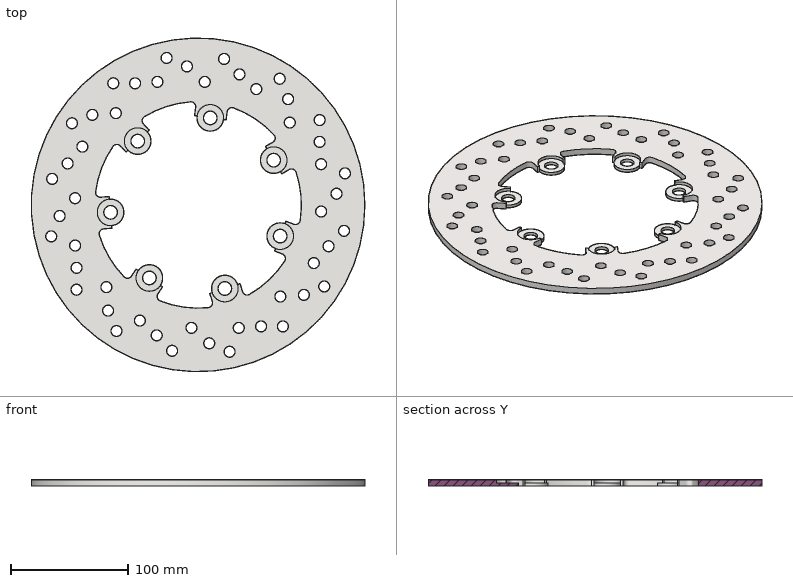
import cadquery as cq
import math

outer_radius = 142.5
thickness = 5.7
opening_radius = 88.0

ear_count = 7
ear_start_angle = 30.6
ear_circle_radius = 75.0
ear_half_width = 13.7
ear_root_radius = 4.0
seat_radius = 11.5
seat_depth = 2.8
bolt_hole_radius = 5.7

vent_hole_radius = 4.5
vent_sector_count = 8
vent_sector = [
    (118.5, 4.6),
    (128.2, 12.1),
    (110.5, 18.3),
    (116.8, 27.4),
    (126.5, 34.9),
    (105.2, 41.9),
]


def polar_point(radius, angle):
    """Point at the given radius and angle in degrees."""
    return (radius * math.cos(math.radians(angle)), radius * math.sin(math.radians(angle)))


def cylinders(points, radius, bottom, height):
    """Upright cylinders of equal size, one at each point."""
    return cq.Workplane("XY").workplane(offset=bottom).pushPoints(points).circle(radius).extrude(height)


ear_angles = [ear_start_angle + i * 360 / ear_count for i in range(ear_count)]
ear_centers = [polar_point(ear_circle_radius, angle) for angle in ear_angles]


def make_ring():
    """Plain ring between the outer edge and the opening."""
    return cq.Workplane("XY").circle(outer_radius).circle(opening_radius).extrude(thickness)


def make_ear_block(angle):
    """Full-thickness block from the bolt circle outward into the ring."""
    length = opening_radius + ear_root_radius - ear_circle_radius
    block = cq.Workplane("XY").box(length, 2 * ear_half_width, thickness, centered=(False, True, False))
    return block.translate((ear_circle_radius, 0, 0)).rotate((0, 0, 0), (0, 0, 1), angle)


def round_ear_roots(body):
    """Round the upright inside corners where the ears meet the opening."""
    root_angle = math.degrees(math.asin(ear_half_width / opening_radius))
    for angle in ear_angles:
        for side in (-1, 1):
            corner = polar_point(opening_radius, angle + side * root_angle)
            nearest = cq.selectors.NearestToPointSelector((*corner, thickness / 2))
            body = body.edges("|Z").edges(nearest).fillet(ear_root_radius)
    return body


def add_bolt_seats(body):
    """Give each ear a round tongue, sunk below the top face, with a bolt hole through it."""
    tongues = cylinders(ear_centers, seat_radius, 0, thickness)
    recesses = cylinders(ear_centers, seat_radius, thickness - seat_depth, seat_depth)
    bolt_holes = cylinders(ear_centers, bolt_hole_radius, 0, thickness)
    return body.union(tongues).cut(recesses).cut(bolt_holes)


def make_vent_holes():
    """Cutters for all the ventilation holes."""
    points = [
        polar_point(radius, angle + sector * 360 / vent_sector_count)
        for sector in range(vent_sector_count)
        for radius, angle in vent_sector
    ]
    return cylinders(points, vent_hole_radius, 0, thickness)


disc = make_ring()
for ear_angle in ear_angles:
    disc = disc.union(make_ear_block(ear_angle))
disc = round_ear_roots(disc)
disc = add_bolt_seats(disc)
result = disc.cut(make_vent_holes())